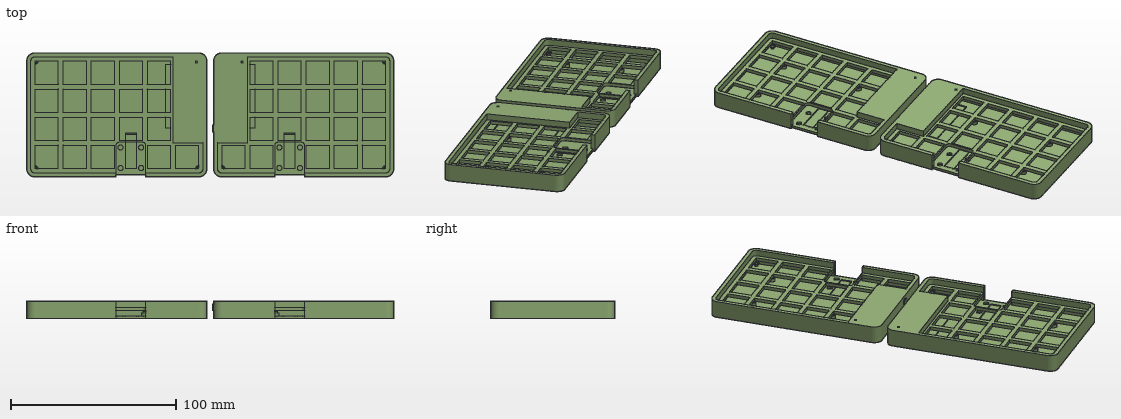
import cadquery as cq

KEY_PITCH = 17.0
COLUMNS = 6
ROWS = 4
WINDOW = 14.0
EDGE_MARGIN = 3.5

HALF_LENGTH = COLUMNS * KEY_PITCH + 2 * EDGE_MARGIN
HALF_WIDTH = ROWS * KEY_PITCH + 2 * EDGE_MARGIN
TOTAL_LENGTH = 222.2
HEIGHT = 10.7
WALL = 2.5
CORNER_RADIUS = 4.9

BASE_THICKNESS = 1.5
PLATE_BOTTOM = 4.9
PLATE_TOP = 6.9

RABBET = WALL / 2

NOTCH = 18.0
NOTCH_RADIUS = 2.0

FLOOR_HOLE_DIAMETER = 3.0
FLOOR_HOLE_SPACING = 12.5
FLOOR_HOLE_SHIFT = 0.5
FLOOR_HOLE_DEPTH = 1.0
GROOVE_WIDTH = 6.7
GROOVE_LENGTH = 21.3
GROOVE_FRONT_OFFSET = 6.9
GROOVE_DEPTH = 0.7

POCKET_WIDTH = 20.0
POCKET_LENGTH = 38.5
POCKET_LEFT_OFFSET = 4.7
POCKET_BACK_OFFSET = 7.0
POCKET_DEPTH = 0.7

FLANGE_DIAMETER = 4.0
FLANGE_TOP = 3.5
NECK_DIAMETER = 2.5
NECK_TOP = 4.2

STUD_HEAD_DIAMETER = 3.5
STUD_HEAD_TOP = 3.3
STUD_HEAD_BOTTOM = 2.9
STUD_STEM_DIAMETER = 2.0

PINHOLE_DIAMETER = 1.2
PINHOLE_LEFT_X = -8.5
PINHOLE_RIGHT_X = 19.3
PINHOLE_BACK_OFFSET = 5.5

BUTTON_DIAMETER = 4.0
BUTTON_PROTRUSION = 0.7
BUTTON_SEAT_DEPTH = 1.3
BUTTON_Y = -8.2
BUTTON_Z = 6.9

LEFT = -TOTAL_LENGTH / 2
RIGHT = LEFT + HALF_LENGTH
FRONT = -HALF_WIDTH / 2
BACK = HALF_WIDTH / 2
CENTER_X = (LEFT + RIGHT) / 2


def column_line(count):
    """X of the grid line to the right of the given number of columns."""
    return LEFT + EDGE_MARGIN + count * KEY_PITCH


def row_line(count):
    """Y of the grid line behind the given number of rows."""
    return FRONT + EDGE_MARGIN + count * KEY_PITCH


def key_center(column, row):
    """Center of a key; columns count from the left, rows from the front, both from 0."""
    return column_line(column + 0.5), row_line(row + 0.5)


NOTCH_X, NOTCH_Y = key_center(3, 0)
COVER_LEFT = column_line(5)
COVER_FRONT = row_line(1)


def box(x_min, x_max, y_min, y_max, z_min, z_max):
    return (
        cq.Workplane("XY", origin=((x_min + x_max) / 2, (y_min + y_max) / 2, z_min))
        .rect(x_max - x_min, y_max - y_min)
        .extrude(z_max - z_min)
    )


def rounded_slab(inset, z_min, z_max):
    """Slab with the outline of a half, moved inward by the inset."""
    return (
        cq.Workplane("XY", origin=(CENTER_X, 0, z_min))
        .rect(HALF_LENGTH - 2 * inset, HALF_WIDTH - 2 * inset)
        .extrude(z_max - z_min)
        .edges("|Z")
        .fillet(CORNER_RADIUS - inset)
    )


def cylinders(points, diameter, z_min, z_max):
    return (
        cq.Workplane("XY", origin=(0, 0, z_min))
        .pushPoints(points)
        .circle(diameter / 2)
        .extrude(z_max - z_min)
    )


def notch_cutter():
    """Full-height cutter, open to the front, with rounded back corners."""
    half = NOTCH / 2
    return (
        box(NOTCH_X - half, NOTCH_X + half, FRONT - WALL, NOTCH_Y + half, 0, HEIGHT)
        .edges("|Z and >Y")
        .fillet(NOTCH_RADIUS)
    )


def make_frame():
    cover = rounded_slab(0, PLATE_TOP, HEIGHT).intersect(
        box(COVER_LEFT, RIGHT, COVER_FRONT, BACK, PLATE_TOP, HEIGHT)
    )
    return (
        rounded_slab(0, 0, HEIGHT)
        .cut(rounded_slab(WALL, 0, HEIGHT))
        .cut(rounded_slab(RABBET, 0, BASE_THICKNESS))
        .cut(notch_cutter())
        .union(cover)
    )


def pinhole_cutter(x):
    return cylinders([(x, BACK - PINHOLE_BACK_OFFSET)], PINHOLE_DIAMETER, PLATE_TOP, HEIGHT)


def make_plate():
    window_centers = [
        key_center(column, row)
        for column in range(COLUMNS)
        for row in range(ROWS)
        if column < COLUMNS - 1 or row == 0
    ]
    windows = (
        cq.Workplane("XY", origin=(0, 0, PLATE_BOTTOM))
        .pushPoints(window_centers)
        .rect(WINDOW, WINDOW)
        .extrude(PLATE_TOP - PLATE_BOTTOM)
    )
    return rounded_slab(WALL, PLATE_BOTTOM, PLATE_TOP).cut(windows).cut(notch_cutter())


def post_centers():
    """Posts below three rib crossings of the key plate."""
    return [
        (column_line(1), row_line(1)),
        (column_line(1), row_line(3)),
        (column_line(4), row_line(3)),
    ]


def stud_centers():
    """Studs below the outer corners of three corner windows."""
    inset = EDGE_MARGIN + (KEY_PITCH - WINDOW) / 2
    return [
        (LEFT + inset, FRONT + inset),
        (LEFT + inset, BACK - inset),
        (RIGHT - inset, FRONT + inset),
    ]


def make_base():
    groove_front = NOTCH_Y - GROOVE_FRONT_OFFSET
    groove_back = groove_front + GROOVE_LENGTH
    groove_bottom = BASE_THICKNESS - GROOVE_DEPTH
    groove = (
        cq.Workplane("YZ", origin=(NOTCH_X - GROOVE_WIDTH / 2, 0, 0))
        .moveTo(groove_front, BASE_THICKNESS)
        .lineTo(groove_back, BASE_THICKNESS)
        .lineTo(groove_back - GROOVE_DEPTH, groove_bottom)
        .lineTo(groove_front, groove_bottom)
        .close()
        .extrude(GROOVE_WIDTH)
    )
    pocket_left = COVER_LEFT - POCKET_LEFT_OFFSET
    pocket_back = BACK - POCKET_BACK_OFFSET
    pocket = box(
        pocket_left,
        pocket_left + POCKET_WIDTH,
        pocket_back - POCKET_LENGTH,
        pocket_back,
        BASE_THICKNESS - POCKET_DEPTH,
        BASE_THICKNESS,
    )
    floor_holes = (
        cq.Workplane("XY", origin=(NOTCH_X, NOTCH_Y - FLOOR_HOLE_SHIFT, BASE_THICKNESS - FLOOR_HOLE_DEPTH))
        .rect(FLOOR_HOLE_SPACING, FLOOR_HOLE_SPACING, forConstruction=True)
        .vertices()
        .circle(FLOOR_HOLE_DIAMETER / 2)
        .extrude(FLOOR_HOLE_DEPTH)
    )
    return (
        rounded_slab(RABBET, 0, BASE_THICKNESS)
        .cut(groove)
        .cut(pocket)
        .cut(floor_holes)
        .union(cylinders(post_centers(), FLANGE_DIAMETER, BASE_THICKNESS, FLANGE_TOP))
        .union(cylinders(post_centers(), NECK_DIAMETER, FLANGE_TOP, NECK_TOP))
        .union(cylinders(stud_centers(), STUD_STEM_DIAMETER, BASE_THICKNESS, STUD_HEAD_BOTTOM))
        .union(cylinders(stud_centers(), STUD_HEAD_DIAMETER, STUD_HEAD_BOTTOM, STUD_HEAD_TOP))
    )


def make_button():
    """Round button along X, seated in the inner end wall of the right half."""
    return (
        cq.Workplane("YZ", origin=(-RIGHT - BUTTON_PROTRUSION, BUTTON_Y, BUTTON_Z))
        .circle(BUTTON_DIAMETER / 2)
        .extrude(BUTTON_PROTRUSION + BUTTON_SEAT_DEPTH)
    )


left_frame_blank = make_frame()
left_frame = left_frame_blank.cut(pinhole_cutter(PINHOLE_LEFT_X))
left_plate = make_plate()
left_base = make_base()

button = make_button()
right_frame = left_frame_blank.mirror("YZ").cut(pinhole_cutter(PINHOLE_RIGHT_X)).cut(button)
right_plate = left_plate.mirror("YZ")
right_base = left_base.mirror("YZ")

bodies = [left_frame, left_plate, left_base, right_frame, right_plate, right_base, button]
result = cq.Compound.makeCompound([body.val() for body in bodies])